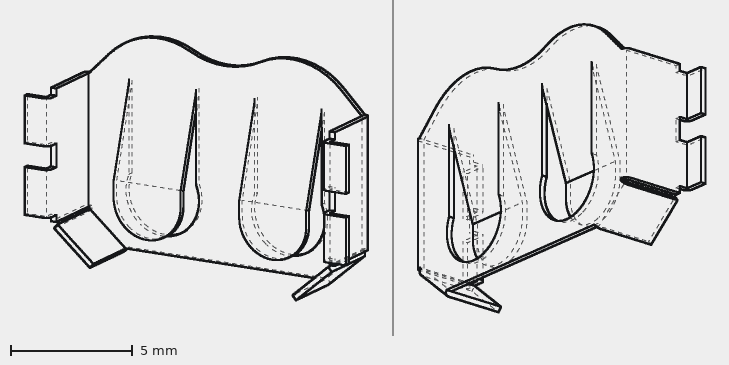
import cadquery as cq
import math

thickness = 0.254
overall_width = 15.24
overall_depth = 3.556
plate_front_y = overall_depth - thickness
right_angle = math.radians(90)
flange_end_y = 0.635

plate_half_width = 6.477
wall_bottom_z = 1.535
wall_height = 5.715
wall_top_z = wall_bottom_z + wall_height
peak_x = 3.13
peak_z = 9.208
peak_radius = 3.34
valley_z = 8.47
shoulder_angle = math.radians(45)

corner_angle = math.radians(40.5)
corner_edge_x = 4.72
corner_flange_length = 2.235

foot_height = 2.045
foot_pitch = 3.06

tab_width = 3.175
tab_spacing = 5.956
tab_top_z = wall_top_z
tab_tip_offset = 1.27
tab_angle = math.radians(18)
tab_bend_radius = 0.762
tab_round_z = 2.51
clearance_radius = 1.73


def polar(center, radius, angle):
    """Point at a radius and angle from a centre."""
    return (center[0] + radius * math.cos(angle), center[1] + radius * math.sin(angle))


def extrude_across_plate(sketch_function, front_y, back_y):
    """Extrude an XZ outline from front_y to back_y."""
    plane = cq.Plane(origin=(0, back_y, 0), xDir=(1, 0, 0), normal=(0, -1, 0))
    return sketch_function(cq.Workplane(plane)).extrude(back_y - front_y)


def mirror_x(point):
    """Point reflected to the other side of the symmetry plane X = 0."""
    return (-point[0], point[1])


def plate_outline(workplane):
    """Plate with two rounded peaks, a valley between them and cut bottom corners."""
    peak_center = (peak_x, peak_z - peak_radius)
    rise = valley_z - peak_center[1]
    valley_radius = (peak_x**2 + rise**2 - peak_radius**2) / (2 * (peak_radius - rise))
    valley_center = (0, valley_z + valley_radius)
    join_angle = math.atan2(valley_center[1] - peak_center[1], -peak_x)
    join = polar(peak_center, peak_radius, join_angle)
    shoulder = polar(peak_center, peak_radius, shoulder_angle)
    peak = (peak_x, peak_z)
    wall_top = (plate_half_width, wall_top_z)
    wall_bottom = (plate_half_width, wall_bottom_z)
    corner_upper = polar((corner_edge_x, 0), corner_flange_length, corner_angle)
    corner_lower = (corner_edge_x, 0)
    return (
        workplane.moveTo(*corner_lower)
        .lineTo(*corner_upper)
        .lineTo(*wall_bottom)
        .lineTo(*wall_top)
        .lineTo(*shoulder)
        .threePointArc(peak, join)
        .threePointArc((0, valley_z), mirror_x(join))
        .threePointArc(mirror_x(peak), mirror_x(shoulder))
        .lineTo(*mirror_x(wall_top))
        .lineTo(*mirror_x(wall_bottom))
        .lineTo(*mirror_x(corner_upper))
        .lineTo(*mirror_x(corner_lower))
        .close()
    )


def bent_flange(edge_start, edge_angle, length):
    """Flange folded forward along a plate edge: sharp inside, rounded outside."""
    along = (math.cos(edge_angle), 0, math.sin(edge_angle))
    outward = (math.sin(edge_angle), 0, -math.cos(edge_angle))
    origin = (edge_start[0], 0, edge_start[1])
    arc_middle = polar((0, plate_front_y), thickness, right_angle / 2)
    return (
        cq.Workplane(cq.Plane(origin=origin, xDir=outward, normal=along))
        .moveTo(0, flange_end_y)
        .lineTo(thickness, flange_end_y)
        .lineTo(thickness, plate_front_y)
        .threePointArc(arc_middle, (0, overall_depth))
        .close()
        .extrude(length)
    )


def solder_foot(center_z):
    """Foot bent outward from the free edge of the right side wall."""
    wall_outer_x = plate_half_width + thickness
    arc_middle = polar((wall_outer_x, thickness), thickness, math.pi + right_angle / 2)
    return (
        cq.Workplane("XY", origin=(0, 0, center_z - foot_height / 2))
        .moveTo(plate_half_width, flange_end_y)
        .lineTo(plate_half_width, thickness)
        .threePointArc(arc_middle, (wall_outer_x, 0))
        .lineTo(overall_width / 2, 0)
        .lineTo(overall_width / 2, thickness)
        .lineTo(wall_outer_x, thickness)
        .lineTo(wall_outer_x, flange_end_y)
        .close()
        .extrude(foot_height)
    )


def right_side():
    """Side wall, its two feet and the corner flange of the +X side."""
    wall = bent_flange((plate_half_width, wall_bottom_z), right_angle, wall_height)
    side = wall.union(bent_flange((corner_edge_x, 0), corner_angle, corner_flange_length))
    wall_middle_z = wall_bottom_z + wall_height / 2
    for direction in (-1, 1):
        side = side.union(solder_foot(wall_middle_z + direction * foot_pitch / 2))
    return side


def tab_outline(workplane, center_x):
    """Straight-sided tab with a full round lower end."""
    half_width = tab_width / 2
    return (
        workplane.moveTo(center_x - half_width, tab_top_z)
        .lineTo(center_x - half_width, tab_round_z)
        .threePointArc((center_x, tab_round_z - half_width), (center_x + half_width, tab_round_z))
        .lineTo(center_x + half_width, tab_top_z)
        .close()
    )


def tab_opening(center_x):
    """Opening left by the tab, with a larger round clearance at its tip."""
    slot = extrude_across_plate(lambda wp: tab_outline(wp, center_x), plate_front_y, overall_depth)
    clearance = extrude_across_plate(
        lambda wp: wp.center(center_x, tab_round_z).circle(clearance_radius),
        plate_front_y,
        overall_depth,
    )
    return slot.union(clearance)


def spring_tab(center_x):
    """Tab that bends forward out of the plate, then turns parallel to it again."""
    bend_center = (plate_front_y - tab_bend_radius, tab_top_z)
    back_radius = tab_bend_radius + thickness
    front_bend_end = polar(bend_center, tab_bend_radius, -tab_angle)
    front_bend_middle = polar(bend_center, tab_bend_radius, -tab_angle / 2)
    back_bend_end = polar(bend_center, back_radius, -tab_angle)
    back_bend_middle = polar(bend_center, back_radius, -tab_angle / 2)

    tip_back_y = overall_depth - tab_tip_offset
    tip_front_y = tip_back_y - thickness
    knee_z = back_bend_end[1] - (back_bend_end[0] - tip_back_y) / math.tan(tab_angle)
    knee = (tip_back_y, knee_z)
    knee_front_start = polar(knee, thickness, math.pi - tab_angle)
    knee_front_middle = polar(knee, thickness, math.pi - tab_angle / 2)
    tip_z = tab_round_z - tab_width / 2

    strip = (
        cq.Workplane("YZ", origin=(center_x - tab_width / 2, 0, 0))
        .moveTo(plate_front_y, tab_top_z)
        .threePointArc(front_bend_middle, front_bend_end)
        .lineTo(*knee_front_start)
        .threePointArc(knee_front_middle, (tip_front_y, knee_z))
        .lineTo(tip_front_y, tip_z)
        .lineTo(tip_back_y, tip_z)
        .lineTo(*knee)
        .lineTo(*back_bend_end)
        .threePointArc(back_bend_middle, (overall_depth, tab_top_z))
        .close()
        .extrude(tab_width)
    )
    rounded_column = extrude_across_plate(lambda wp: tab_outline(wp, center_x), 0, overall_depth)
    return strip.intersect(rounded_column)


clip = extrude_across_plate(plate_outline, plate_front_y, overall_depth)
side = right_side()
clip = clip.union(side).union(side.mirror("YZ"))
for direction in (-1, 1):
    tab_x = direction * tab_spacing / 2
    clip = clip.cut(tab_opening(tab_x)).union(spring_tab(tab_x))

result = clip